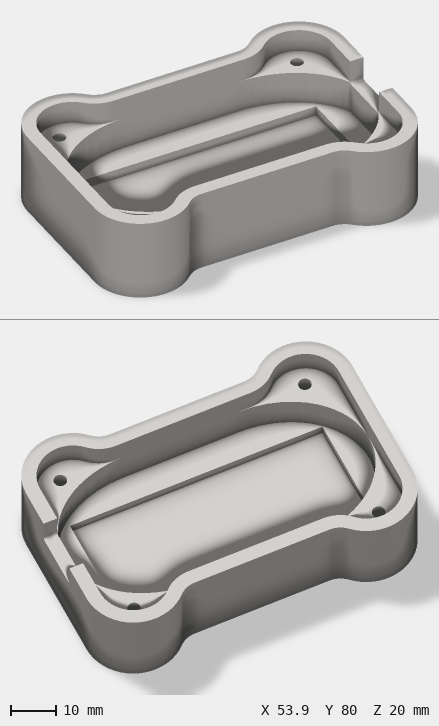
import cadquery as cq
import math

LENGTH = 80.0
WIDTH = 53.9
HEIGHT = 20.0
WAIST_WIDTH = 44.0
WALL = 3.4
LOBE_RADIUS = 11.4
NECK_RADIUS = 5.7

SHELF_Z = 14.4
FLOOR_Z = 6.4
RECESS_Z = 4.0

OVAL_HALF_LENGTH = 23.0
OVAL_FRONT_Y = -13.6
OVAL_BACK_Y = 15.0

RECESS_LENGTH = 61.9
RECESS_WIDTH = 24.0

HOLE_DIAMETER = 3.0
HOLE_SPACING_X = 38.0
HOLE_SPACING_Y = 60.0

NOTCH_WIDTH = 13.3
NOTCH_Z = 14.0
NOTCH_CORNER_RADIUS = 0.6


def dogbone(inset, bottom_z):
    """Four-lobed solid up to the rim, with its outline moved inward by inset."""
    half_length = LENGTH / 2 - inset
    waist_x = WAIST_WIDTH / 2 - inset
    lobe_radius = LOBE_RADIUS - inset
    neck_radius = NECK_RADIUS + inset
    lobe_x = WIDTH / 2 - LOBE_RADIUS
    lobe_y = LENGTH / 2 - LOBE_RADIUS

    neck_x = waist_x + neck_radius
    centre_distance = lobe_radius + neck_radius
    neck_angle = math.acos((neck_x - lobe_x) / centre_distance)
    neck_y = lobe_y - centre_distance * math.sin(neck_angle)
    join = (
        lobe_x + lobe_radius * math.cos(neck_angle),
        lobe_y - lobe_radius * math.sin(neck_angle),
    )
    neck_mid = (
        neck_x - neck_radius * math.cos(neck_angle / 2),
        neck_y + neck_radius * math.sin(neck_angle / 2),
    )
    quarter = (
        cq.Workplane("XY", origin=(0, 0, bottom_z))
        .lineTo(waist_x, 0)
        .lineTo(waist_x, neck_y)
        .threePointArc(neck_mid, join)
        .threePointArc((lobe_x + lobe_radius, lobe_y), (lobe_x, half_length))
        .lineTo(0, half_length)
        .close()
        .extrude(HEIGHT - bottom_z)
    )
    half = quarter.union(quarter.mirror("YZ"))
    return half.union(half.mirror("XZ")).clean()


def oval_well():
    """Well with elliptical ends, kept inside the walls."""
    half_width = WAIST_WIDTH / 2 - WALL
    depth = HEIGHT - FLOOR_Z
    base = cq.Workplane("XY", origin=(0, 0, FLOOR_Z))
    middle_y = (OVAL_FRONT_Y + OVAL_BACK_Y) / 2
    well = base.center(0, middle_y).rect(2 * half_width, OVAL_BACK_Y - OVAL_FRONT_Y).extrude(depth)
    for end_y in (OVAL_FRONT_Y, OVAL_BACK_Y):
        well = well.union(base.center(0, end_y).ellipse(half_width, OVAL_HALF_LENGTH).extrude(depth))
    return well.intersect(dogbone(WALL, FLOOR_Z))


def recess():
    return (
        cq.Workplane("XY", origin=(0, 0, RECESS_Z))
        .rect(RECESS_WIDTH, RECESS_LENGTH)
        .extrude(FLOOR_Z - RECESS_Z)
    )


def screw_holes():
    return (
        cq.Workplane("XY")
        .rect(HOLE_SPACING_X, HOLE_SPACING_Y, forConstruction=True)
        .vertices()
        .circle(HOLE_DIAMETER / 2)
        .extrude(HEIGHT)
    )


def back_notch():
    """Open-topped notch with rounded lower corners."""
    return (
        cq.Workplane("XY", origin=(0, LENGTH / 2 - WALL / 2, NOTCH_Z))
        .rect(NOTCH_WIDTH, WALL)
        .extrude(HEIGHT - NOTCH_Z)
        .edges("|Y and <Z")
        .fillet(NOTCH_CORNER_RADIUS)
    )


result = (
    dogbone(0, 0)
    .cut(dogbone(WALL, SHELF_Z))
    .cut(oval_well())
    .cut(recess())
    .cut(screw_holes())
    .cut(back_notch())
)